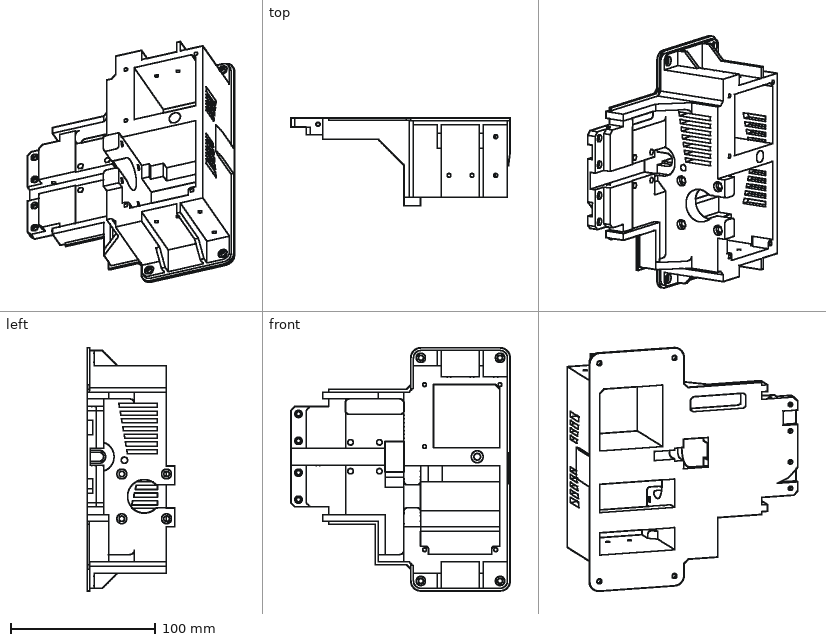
import cadquery as cq
import math


LENGTH = 152.0
DEPTH = 60.95
HEIGHT = 168.63
HALF_HEIGHT = HEIGHT / 2

FLANGE_T = 2.0
FLANGE_LIP = 1.9
FLANGE_LEFT = 83.1
FLANGE_CORNER_R = 7.0
PAD_DEPTH = 4.9
SCREW_INSET = 7.0
SCREW_R = 1.7
SCREW_HEAD_R = 3.2
SCREW_HEAD_DEPTH = 2.0
ARM_FLANGE_LEFT = 26.2
ARM_FLANGE_T = 1.6
ARM_FLANGE_LIP = 2.0
ELBOW_CHAMFER = 3.0

HOUSING_LEFT = 78.4
HOUSING_RIGHT = LENGTH - FLANGE_LIP
HOUSING_DEPTH = 55.0
HOUSING_HALF_H = 64.1
WALL = 5.4
BLOCK_LEFT = FLANGE_LEFT + FLANGE_LIP
BLOCK_RIGHT = 104.4
BLOCK_HALF_H = 72.0
RIB_T = 2.8
OUTER_RIB_LEFT = 130.5
RIB_TIP_DEPTH = 10.6
CAVITY_LEFT = 89.9
CAVITY_RIGHT = HOUSING_RIGHT - WALL
CAVITY_HALF_H = HOUSING_HALF_H - WALL
WINDOW_LEFT = 98.9
WINDOW_CORNER_CUT = 3.0
DIVIDER_TOP = 15.1
MOTOR_TOP = 2.4

MOTOR_SIZE = 42.2
MOTOR_Z = MOTOR_TOP - MOTOR_SIZE / 2
MOTOR_DEPTH = 39.6
MOTOR_BOTTOM = MOTOR_TOP - MOTOR_SIZE
MOTOR_HOLE_R = 11.5
MOTOR_SCREW_PITCH = 31.0
MOTOR_SCREW_R = 1.9
MOTOR_HEAD_R = 3.4
MOTOR_HEAD_DEPTH = 3.0
CHANNEL_HALF_W = 7.9
CHANNEL_LIP_R = 2.5
BAR_DEPTH = 9.0
BAR_OPENING_TOP = -8.6
BAR_OPENING_BOTTOM = -28.6
SHELF_T = 3.2
SHELF_DEPTH = 19.5

TAB_DEPTH = 6.4
TAB_TOP = 43.6
TAB_BOTTOM = -26.0
TAB_CHAMFER = 2.8
STEP_X = 10.6
PLATE_DEPTH = 11.7
RECESS_X = 37.9
RECESS_DEPTH = 10.9
WALL_LEFT = 22.0
ARM_WALL_DEPTH = 14.9
ARM_WALL_T = 4.8
ARM_TOP = 53.6
ARM_BOTTOM = -HOUSING_HALF_H
ARM_CEILING = ARM_TOP - ARM_WALL_T
ARM_FLOOR = -59.0
SHELF_WALL_TOP = -31.3
DROP_WALL_LEFT = 60.5
DROP_WALL_RIGHT = DROP_WALL_LEFT + ARM_WALL_T
GUSSET_DEPTH = 32.8
GUSSET_FILLET = 3.0
CABLE_Z = 8.75
CABLE_HALF_W = 5.9
CABLE_FLOOR = 2.3

ENTRY_LEFT = 65.3
ENTRY_R = 10.45
ENTRY_CENTER_DEPTH = 8.3
ENTRY_SEAT_X = 83.5
ENTRY_MID_R = 4.6
ENTRY_MID_X = 89.9
ENTRY_BORE_R = 3.2
ENTRY_END_X = 104.8
RAMP_TOP = -5.6
RAMP_BOTTOM = -12.3

PILOT_R = 1.3


def box(x0, x1, front, back, z0, z1):
    """Box between two X, two depths in front of the mounting face, and two Z."""
    size = (x1 - x0, front - back, z1 - z0)
    return cq.Workplane("XY").box(*size, centered=False).translate((x0, -front, z0))


def prism_z(points, z0, z1):
    """Extrude an (x, depth) outline from z0 up to z1."""
    outline = [(x, -depth) for x, depth in points]
    return cq.Workplane("XY").workplane(offset=z0).polyline(outline).close().extrude(z1 - z0)


def prism_y(points, front, back=0.0):
    """Extrude an (x, z) outline between two depths."""
    plane = cq.Workplane("XZ").workplane(offset=back)
    return plane.polyline(points).close().extrude(front - back)


def prism_x(points, x0, x1):
    """Extrude a (depth, z) outline from x0 to x1."""
    outline = [(-depth, z) for depth, z in points]
    return cq.Workplane("YZ").workplane(offset=x0).polyline(outline).close().extrude(x1 - x0)


def drill_y(x, z, radius, front, back=0.0):
    return cq.Workplane("XZ").workplane(offset=back).center(x, z).circle(radius).extrude(front - back)


def drill_x(depth, z, radius, x0, x1):
    return cq.Workplane("YZ").workplane(offset=x0).center(-depth, z).circle(radius).extrude(x1 - x0)


def drill_z(x, depth, radius, z0, z1):
    return cq.Workplane("XY").workplane(offset=z0).center(x, -depth).circle(radius).extrude(z1 - z0)


def union_all(solids):
    total = solids[0]
    for solid in solids[1:]:
        total = total.union(solid)
    return total


def flange():
    half = HALF_HEIGHT
    main = box(FLANGE_LEFT, LENGTH, FLANGE_T, 0, -half, half).edges("|Y").fillet(FLANGE_CORNER_R)
    half -= FLANGE_LIP
    pad = box(BLOCK_LEFT, HOUSING_RIGHT, PAD_DEPTH, 0, -half, half)
    pad = pad.edges("|Y").fillet(FLANGE_CORNER_R - FLANGE_LIP)
    top = ARM_TOP + ARM_FLANGE_LIP
    bottom = ARM_BOTTOM - ARM_FLANGE_LIP
    drop_left = DROP_WALL_LEFT - ARM_FLANGE_LIP
    shelf_bottom = SHELF_WALL_TOP - ARM_WALL_T - ARM_FLANGE_LIP
    arm = prism_y(
        [
            (ARM_FLANGE_LEFT, top),
            (FLANGE_LEFT - ELBOW_CHAMFER, top),
            (FLANGE_LEFT, top + ELBOW_CHAMFER),
            (BLOCK_LEFT, top + ELBOW_CHAMFER),
            (BLOCK_LEFT, bottom - ELBOW_CHAMFER),
            (FLANGE_LEFT, bottom - ELBOW_CHAMFER),
            (FLANGE_LEFT - ELBOW_CHAMFER, bottom),
            (drop_left, bottom),
            (drop_left, shelf_bottom),
            (ARM_FLANGE_LEFT, shelf_bottom),
        ],
        ARM_FLANGE_T,
    )
    return union_all([main, pad, arm])


def flange_screws():
    cuts = []
    for x in (FLANGE_LEFT + SCREW_INSET, LENGTH - SCREW_INSET):
        for z in (HALF_HEIGHT - SCREW_INSET, SCREW_INSET - HALF_HEIGHT):
            cuts.append(drill_y(x, z, SCREW_R, PAD_DEPTH))
            cuts.append(drill_y(x, z, SCREW_HEAD_R, PAD_DEPTH, PAD_DEPTH - SCREW_HEAD_DEPTH))
    return union_all(cuts)


def housing_body():
    elbow = BLOCK_LEFT - ELBOW_CHAMFER
    main = prism_y(
        [
            (HOUSING_LEFT, ARM_TOP),
            (elbow, ARM_TOP),
            (BLOCK_LEFT, ARM_TOP + ELBOW_CHAMFER),
            (BLOCK_LEFT, BLOCK_HALF_H),
            (BLOCK_RIGHT, BLOCK_HALF_H),
            (BLOCK_RIGHT, HOUSING_HALF_H),
            (HOUSING_RIGHT, HOUSING_HALF_H),
            (HOUSING_RIGHT, -HOUSING_HALF_H),
            (BLOCK_RIGHT, -HOUSING_HALF_H),
            (BLOCK_RIGHT, -BLOCK_HALF_H),
            (BLOCK_LEFT, -BLOCK_HALF_H),
            (BLOCK_LEFT, ARM_BOTTOM - ELBOW_CHAMFER),
            (elbow, ARM_BOTTOM),
            (HOUSING_LEFT, ARM_BOTTOM),
        ],
        HOUSING_DEPTH,
    )
    clearance = box(HOUSING_LEFT, CAVITY_LEFT, DEPTH, MOTOR_DEPTH, MOTOR_BOTTOM, MOTOR_TOP)
    return main.cut(clearance).union(motor_lugs())


def motor_lugs():
    """Two lugs beside the front channel, rounded along the channel lips."""
    channel_top = MOTOR_Z + CHANNEL_HALF_W
    channel_bottom = MOTOR_Z - CHANNEL_HALF_W
    upper = box(HOUSING_LEFT, CAVITY_LEFT, DEPTH, MOTOR_DEPTH, channel_top, MOTOR_TOP)
    lower = box(HOUSING_LEFT, CAVITY_LEFT, DEPTH, MOTOR_DEPTH, MOTOR_BOTTOM, channel_bottom)
    upper = upper.faces("<Z").edges("|Y").fillet(CHANNEL_LIP_R)
    lower = lower.faces(">Z").edges("|Y").fillet(CHANNEL_LIP_R)
    return upper.union(lower)


def ribs():
    tip = HALF_HEIGHT - FLANGE_LIP
    root = HOUSING_HALF_H - WALL / 2
    slope_end = RIB_TIP_DEPTH + tip - BLOCK_HALF_H
    profile = [
        (0, root),
        (0, tip),
        (RIB_TIP_DEPTH, tip),
        (slope_end, BLOCK_HALF_H),
        (HOUSING_DEPTH, BLOCK_HALF_H),
        (HOUSING_DEPTH, root),
    ]
    upper = union_all([
        prism_x(profile, BLOCK_RIGHT - RIB_T, BLOCK_RIGHT),
        prism_x(profile, OUTER_RIB_LEFT, OUTER_RIB_LEFT + RIB_T),
    ])
    return upper.union(upper.mirror("XY"))


def upper_cavity():
    cut = CAVITY_HALF_H - WINDOW_CORNER_CUT
    return prism_y(
        [
            (WINDOW_LEFT, DIVIDER_TOP),
            (CAVITY_RIGHT, DIVIDER_TOP),
            (CAVITY_RIGHT, cut),
            (CAVITY_RIGHT - WINDOW_CORNER_CUT, CAVITY_HALF_H),
            (WINDOW_LEFT, CAVITY_HALF_H),
        ],
        HOUSING_DEPTH,
    )


def lower_cavity():
    cavity = box(CAVITY_LEFT, CAVITY_RIGHT, HOUSING_DEPTH, 0, -CAVITY_HALF_H, MOTOR_TOP)
    boss = 5.6
    boss_round = 2.5
    boss_length = 18.0
    boss_taper = 5.0
    boss_top = boss - CAVITY_HALF_H
    for wall_x, inner_x in ((CAVITY_LEFT, CAVITY_LEFT + boss), (CAVITY_RIGHT, CAVITY_RIGHT - boss)):
        boss_body = prism_z(
            [
                (wall_x, HOUSING_DEPTH),
                (inner_x, HOUSING_DEPTH),
                (inner_x, HOUSING_DEPTH - boss_length + boss_taper),
                (wall_x, HOUSING_DEPTH - boss_length),
            ],
            -CAVITY_HALF_H,
            boss_top,
        )
        corner = cq.selectors.NearestToPointSelector((inner_x, -HOUSING_DEPTH + boss_taper, boss_top))
        cavity = cavity.cut(boss_body.edges("|Y").edges(corner).fillet(boss_round))
    shelf_bottom = MOTOR_BOTTOM - SHELF_T
    step_mid = 95.4
    step_mid_depth = 15.0
    step_left_depth = 18.0
    cavity = cavity.cut(box(CAVITY_LEFT, CAVITY_RIGHT, BAR_DEPTH, 0, BAR_OPENING_TOP, MOTOR_TOP))
    cavity = cavity.cut(box(CAVITY_LEFT, ENTRY_END_X, step_mid_depth, 0, BAR_OPENING_TOP, MOTOR_TOP))
    cavity = cavity.cut(box(CAVITY_LEFT, step_mid, step_left_depth, 0, BAR_OPENING_TOP, MOTOR_TOP))
    cavity = cavity.cut(box(CAVITY_LEFT, CAVITY_RIGHT, BAR_DEPTH, 0, MOTOR_BOTTOM, BAR_OPENING_BOTTOM))
    return cavity.cut(box(CAVITY_LEFT, CAVITY_RIGHT, SHELF_DEPTH, 0, shelf_bottom, MOTOR_BOTTOM))


def motor_seat():
    x0 = HOUSING_LEFT
    x1 = CAVITY_LEFT
    cuts = [drill_x(MOTOR_DEPTH, MOTOR_Z, MOTOR_HOLE_R, x0, x1)]
    reach = MOTOR_SCREW_PITCH / 2
    for depth in (MOTOR_DEPTH - reach, MOTOR_DEPTH + reach):
        for z in (MOTOR_Z - reach, MOTOR_Z + reach):
            cuts.append(drill_x(depth, z, MOTOR_SCREW_R, x0, x1))
            cuts.append(drill_x(depth, z, MOTOR_HEAD_R, x0, x0 + MOTOR_HEAD_DEPTH))
    return union_all(cuts)


VENT_H = 2.8
VENT_FRONT = 48.7
VENT_PITCH = 5.34


def vent(x0, x1, z, back, slant, height=VENT_H):
    """One slot whose inner end leans by `slant` mm of depth per mm of Z."""
    lean = slant * height / 2
    profile = [
        (VENT_FRONT, z - height / 2),
        (VENT_FRONT, z + height / 2),
        (back + lean, z + height / 2),
        (back - lean, z - height / 2),
    ]
    return prism_x(profile, x0, x1)


def left_vents():
    """Seven blind slots in the thick left wall."""
    count = 7
    top_z = 44.3
    top_back = 22.3
    slant = -0.17
    cuts = []
    for i in range(count):
        drop = i * VENT_PITCH
        cuts.append(vent(HOUSING_LEFT, CAVITY_LEFT, top_z - drop, top_back - slant * drop, slant))
    return union_all(cuts)


def right_vents():
    """Two mirrored groups of slots through the right wall; the outermost slots are taller."""
    center_z = 1.4
    reach = 29.9
    end_back = 30.2
    end_extra_h = 0.9
    slant = 0.23
    cuts = []
    for side, count in ((1, 4), (-1, 5)):
        end_z = center_z + side * (reach + end_extra_h / 2)
        end_height = VENT_H + end_extra_h
        cuts.append(vent(CAVITY_RIGHT, HOUSING_RIGHT, end_z, end_back, -side * slant, end_height))
        for i in range(1, count):
            drop = i * VENT_PITCH
            z = center_z + side * (reach - drop)
            cuts.append(vent(CAVITY_RIGHT, HOUSING_RIGHT, z, end_back + slant * drop, -side * slant))
    return union_all(cuts)


def housing_holes():
    cover_depth = 8.0
    upper_z = CAVITY_HALF_H
    middle_z = 15.8
    lower_z = -55.7
    left_x = 92.7
    upper_right_x = 144.9
    lower_right_x = 142.0
    cover_screws = (
        (left_x, upper_z),
        (left_x, middle_z),
        (upper_right_x, upper_z),
        (left_x, lower_z),
        (lower_right_x, lower_z),
    )
    cuts = []
    for x, z in cover_screws:
        cuts.append(drill_y(x, z, PILOT_R, HOUSING_DEPTH, HOUSING_DEPTH - cover_depth))
    bore_x = 129.2
    bore_r = 4.1
    bore_depth = 20.0
    bore_tip_r = 2.3
    bore_tip_depth = 26.0
    cuts.append(drill_y(bore_x, CABLE_Z, bore_r, HOUSING_DEPTH, HOUSING_DEPTH - bore_depth))
    cuts.append(drill_y(bore_x, CABLE_Z, bore_tip_r, HOUSING_DEPTH, HOUSING_DEPTH - bore_tip_depth))
    side_depth = 25.9
    side_z = 6.4
    side_r = 2.2
    cuts.append(drill_x(side_depth, side_z, side_r, HOUSING_LEFT, CAVITY_LEFT))
    front_row = 39.8
    back_row = 13.0
    outer_x = 142.0
    for x, depth in ((109.6, front_row), (125.6, front_row), (outer_x, front_row), (outer_x, back_row)):
        cuts.append(drill_z(x, depth, PILOT_R, CAVITY_HALF_H, HOUSING_HALF_H))
        cuts.append(drill_z(x, depth, PILOT_R, -HOUSING_HALF_H, -CAVITY_HALF_H))
    return union_all(cuts)


def side_catch():
    """Tapered catch on the outside of the right wall."""
    face = HOUSING_RIGHT
    knee_depth = 24.0
    root_depth = 28.0
    tip_depth = 33.0
    tip_x = face + 0.8
    bottom = -10.0
    top = 11.6
    profile = [(face, 0), (LENGTH, 0), (LENGTH, knee_depth), (tip_x, tip_depth), (face, root_depth)]
    return prism_z(profile, bottom, top)


def tab_outline(left):
    return [
        (left, TAB_BOTTOM + TAB_CHAMFER),
        (left + TAB_CHAMFER, TAB_BOTTOM),
        (ARM_FLANGE_LEFT, TAB_BOTTOM),
        (ARM_FLANGE_LEFT, TAB_TOP),
        (left + TAB_CHAMFER, TAB_TOP),
        (left, TAB_TOP - TAB_CHAMFER),
    ]


def arm_body():
    x1 = HOUSING_LEFT
    shelf_bottom = SHELF_WALL_TOP - ARM_WALL_T
    parts = [
        prism_y(tab_outline(0), TAB_DEPTH),
        prism_y(tab_outline(STEP_X), PLATE_DEPTH),
        box(ARM_FLANGE_LEFT, RECESS_X, PLATE_DEPTH, 0, SHELF_WALL_TOP, ARM_CEILING),
        box(RECESS_X, x1, RECESS_DEPTH, 0, SHELF_WALL_TOP, ARM_CEILING),
        box(DROP_WALL_LEFT, x1, RECESS_DEPTH, 0, ARM_FLOOR, SHELF_WALL_TOP),
        box(WALL_LEFT, DROP_WALL_RIGHT, ARM_WALL_DEPTH, 0, shelf_bottom, SHELF_WALL_TOP),
        box(DROP_WALL_LEFT, DROP_WALL_RIGHT, ARM_WALL_DEPTH, 0, ARM_BOTTOM, SHELF_WALL_TOP),
    ]
    for left, z0, z1 in ((WALL_LEFT, ARM_CEILING, ARM_TOP), (DROP_WALL_LEFT, ARM_BOTTOM, ARM_FLOOR)):
        gusset = [(left, 0), (x1, 0), (x1, GUSSET_DEPTH), (DROP_WALL_LEFT, ARM_WALL_DEPTH)]
        if left < DROP_WALL_LEFT:
            gusset.append((left, ARM_WALL_DEPTH))
        parts.append(prism_z(gusset, z0, z1))
    return union_all(parts)


def gusset_fillet(z, side):
    """Concave round between a gusset face at z and the housing's left wall."""
    x1 = HOUSING_LEFT
    r = GUSSET_FILLET
    bend = r * (1 - math.sqrt(0.5))
    outline = (
        cq.Workplane("XZ")
        .moveTo(x1, z)
        .lineTo(x1 - r, z)
        .threePointArc((x1 - bend, z + side * bend), (x1, z + side * r))
        .close()
    )
    slope = (GUSSET_DEPTH - ARM_WALL_DEPTH) / (HOUSING_LEFT - DROP_WALL_LEFT)
    trim = prism_z(
        [(x1 - r, 0), (x1, 0), (x1, GUSSET_DEPTH), (x1 - r, GUSSET_DEPTH - slope * r)],
        z - r,
        z + r,
    )
    return outline.extrude(GUSSET_DEPTH).intersect(trim)


def arm_slot():
    slot_bottom = 38.3
    slot_round = 2.5
    slot = box(RECESS_X, HOUSING_LEFT, PLATE_DEPTH, 0, slot_bottom, ARM_CEILING)
    return slot.edges("|Y").fillet(slot_round)


def u_slot(x0, x1, radius):
    """Round-ended slot along X, open to the mounting face."""
    straight = box(x0, x1, ENTRY_CENTER_DEPTH, 0, CABLE_Z - radius, CABLE_Z + radius)
    return straight.union(drill_x(ENTRY_CENTER_DEPTH, CABLE_Z, radius, x0, x1))


def cable_path():
    ledge_depth = RECESS_DEPTH - (RAMP_TOP - RAMP_BOTTOM)
    entry_bottom = CABLE_Z - ENTRY_R
    window = box(ENTRY_LEFT, HOUSING_LEFT, ARM_WALL_DEPTH, 0, entry_bottom, CABLE_Z + ENTRY_R)
    ramp = prism_x(
        [
            (ledge_depth, entry_bottom),
            (ledge_depth, RAMP_TOP),
            (RECESS_DEPTH, RAMP_BOTTOM),
            (RECESS_DEPTH, entry_bottom),
        ],
        ENTRY_LEFT,
        HOUSING_LEFT,
    )
    return union_all([
        box(0, ENTRY_LEFT, PLATE_DEPTH, CABLE_FLOOR, CABLE_Z - CABLE_HALF_W, CABLE_Z + CABLE_HALF_W),
        window,
        ramp,
        u_slot(HOUSING_LEFT, ENTRY_SEAT_X, ENTRY_R),
        u_slot(ENTRY_SEAT_X, ENTRY_MID_X, ENTRY_MID_R),
        u_slot(ENTRY_MID_X, ENTRY_END_X, ENTRY_BORE_R),
    ])


def arm_holes():
    tab_hole_x = 5.3
    tab_hole_r = 1.5
    tab_head_r = 2.5
    tab_head_depth = 2.0
    near = 11.0
    far = 29.7
    cuts = []
    for offset in (-far, -near, near, far):
        z = CABLE_Z + offset
        cuts.append(drill_y(tab_hole_x, z, tab_hole_r, TAB_DEPTH))
        cuts.append(drill_y(tab_hole_x, z, tab_head_r, TAB_DEPTH, TAB_DEPTH - tab_head_depth))
    plate_hole_r = 1.9
    plate_hole_depth = 5.0
    plate_hole_offset = 10.0
    for x in (41.4, 61.4):
        for z in (CABLE_Z - plate_hole_offset, CABLE_Z + plate_hole_offset):
            cuts.append(drill_y(x, z, plate_hole_r, RECESS_DEPTH, RECESS_DEPTH - plate_hole_depth))
    cross_hole_x = 18.8
    cross_hole_depth = 4.4
    cuts.append(drill_z(cross_hole_x, cross_hole_depth, PILOT_R, ARM_BOTTOM, TAB_TOP))
    notch_depth = 3.8
    notch_half_h = 5.1
    notch_offset = (near + far) / 2
    roof_break = 6.8
    roof_end = 14.8
    upper_z = CABLE_Z + notch_offset
    cuts.append(box(0, STEP_X, notch_depth, 0, upper_z - notch_half_h, upper_z + notch_half_h))
    lower_z = CABLE_Z - notch_offset
    lower_notch = [
        (0, lower_z - notch_half_h),
        (roof_end, lower_z - notch_half_h),
        (roof_break, lower_z + notch_half_h - roof_break),
        (0, lower_z + notch_half_h),
    ]
    cuts.append(prism_y(lower_notch, notch_depth))
    return union_all(cuts)


body = union_all([flange(), housing_body(), ribs(), side_catch(), arm_body()])
body = body.cut(arm_slot())
body = body.union(gusset_fillet(ARM_CEILING, -1))
body = body.union(gusset_fillet(ARM_FLOOR, 1))
for cutter in (
    upper_cavity(),
    lower_cavity(),
    motor_seat(),
    cable_path(),
    left_vents(),
    right_vents(),
    flange_screws(),
    housing_holes(),
    arm_holes(),
):
    body = body.cut(cutter)

result = body